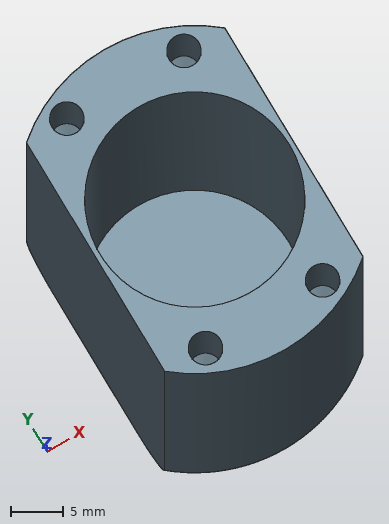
import cadquery as cq
import math

height = 49.0
diameter = 34.0
width = 22.0
rim_radius = 4.0

bore_diameter = 21.0
floor_thickness = 4.0
bore_depth = height - floor_thickness

hole_diameter = 3.3
hole_spacing_x = 13.0
hole_spacing_y = 26.0
hole_depth = 10.0
drill_point_angle = 118.0


def make_body():
    post = cq.Workplane("XY").circle(diameter / 2).extrude(height)
    post = post.faces("<Z").edges().fillet(rim_radius)
    flats = cq.Workplane("XY").rect(width, diameter).extrude(height)
    return post.intersect(flats)


def make_bore():
    return cq.Workplane("XY").workplane(offset=floor_thickness).circle(bore_diameter / 2).extrude(bore_depth)


def make_drilled_hole(x, y):
    radius = hole_diameter / 2
    shoulder = height - hole_depth
    tip = shoulder - radius / math.tan(math.radians(drill_point_angle / 2))
    profile = cq.Workplane("XZ").polyline([(0, tip), (radius, shoulder), (radius, height), (0, height)]).close()
    return profile.revolve(360, (0, 0, 0), (0, 1, 0)).translate((x, y, 0))


result = make_body().cut(make_bore())
for x_side in (-1, 1):
    for y_side in (-1, 1):
        hole = make_drilled_hole(x_side * hole_spacing_x / 2, y_side * hole_spacing_y / 2)
        result = result.cut(hole)